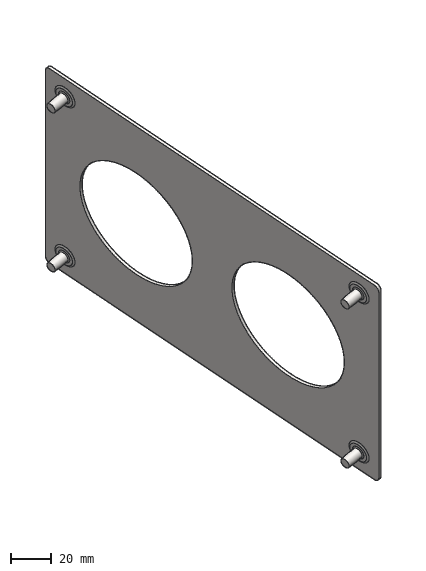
import cadquery as cq

plate_width = 219.5
plate_height = 142.0
plate_thickness = 1.8
corner_radius = 3.0

opening_diameter = 74.0
opening_spacing = 100.0

total_depth = 12.0
stud_length = total_depth - plate_thickness
stud_spacing_x = 193.5
stud_spacing_z = 116.1
shank_diameter = 6.0
tip_diameter = 5.5
taper_length = 4.2

flange_base_radius = 6.5
flange_top_radius = 5.5
flange_height = 0.7
collar_radius = 3.7
collar_height = 0.5


def make_plate():
    """Rounded plate with the two through openings."""
    plate = (
        cq.Workplane("XZ")
        .rect(plate_width, plate_height)
        .extrude(-plate_thickness)
        .edges("|Y")
        .fillet(corner_radius)
    )
    openings = (
        cq.Workplane("XZ")
        .rarray(opening_spacing, 2.2, 2, 1)
        .circle(opening_diameter / 2)
        .extrude(-plate_thickness)
    )
    return plate.cut(openings)


def make_stud(x, z):
    """Flanged stud with a tapered tip, revolved about its own axis along Y."""
    root_y = plate_thickness / 2
    collar_y = -(flange_height + collar_height)
    half_profile = [
        (0, root_y),
        (flange_base_radius, root_y),
        (flange_base_radius, 0),
        (flange_top_radius, -flange_height),
        (collar_radius, -flange_height),
        (shank_diameter / 2, collar_y),
        (shank_diameter / 2, -(stud_length - taper_length)),
        (tip_diameter / 2, -stud_length),
        (0, -stud_length),
    ]
    stud = cq.Workplane("XY").polyline(half_profile).close().revolve(360, (0, 0, 0), (0, 1, 0))
    return stud.translate((x, 0, z))


result = make_plate()
for side_x in (-1, 1):
    for side_z in (-1, 1):
        stud = make_stud(side_x * stud_spacing_x / 2, side_z * stud_spacing_z / 2)
        result = result.union(stud)